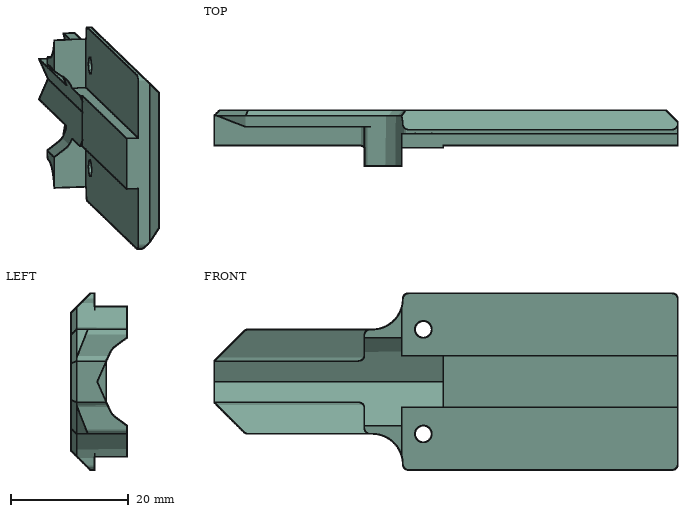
import cadquery as cq


length = 78.69
plate_width = 30.0
total_depth = 9.5

plate_start = 32.0
plate_depth = 4.0
plate_corner_radius = 1.0
side_bevel = 3.3
end_bevel = 2.0

arm_half_width = 8.87
back_chamfer = 0.95
corner_radius = 1.0

rail_half_width = 3.5
rail_depth = 6.0
strip_half_width = 4.36

pocket_end = 25.5
pocket_floor_depth = back_chamfer
floor_slope_start = 4.02
floor_blend_radius = 1.0
floor_edge_depth = 2.85

boss_end = 31.85

groove_end = 38.9
groove_bottom_depth = 4.45
mouth_corner_half_width = 5.58
mouth_corner_depth = 6.96
mouth_half_width = 7.45
mouth_radius = 3.0

hole_diameter = 2.8
hole_x = 35.5
hole_z = arm_half_width

plate_half_width = plate_width / 2
tip_corner_x = arm_half_width - rail_half_width
neck_radius = plate_half_width - plate_corner_radius - arm_half_width
margin = 1.0


def front_plane(depth=0):
    """Sketch plane at a depth with local axes X and Z; extrusions go towards the front."""
    return cq.Workplane("XZ", origin=(0, -depth, 0))


def block_on_plate(x_start, x_end, half_width, depth):
    """Box from the plate front up to the given depth, centred on Z = 0."""
    return (
        front_plane(plate_depth)
        .center((x_start + x_end) / 2, 0)
        .rect(x_end - x_start, 2 * half_width)
        .extrude(depth - plate_depth)
    )


def profile_along_x(points, x_start, x_end):
    """Prism along X with its section given as (depth, z) points."""
    section = [(-depth, z) for depth, z in points]
    return (
        cq.Workplane("YZ", origin=(x_start, 0, 0))
        .polyline(section)
        .close()
        .extrude(x_end - x_start)
    )


def both_sides(solid):
    """The solid together with its mirror image about Z = 0."""
    return solid.union(solid.mirror("XY"))


def outline(start_depth, end_depth):
    """Plan outline of arm, neck and plate, extruded between two depths."""
    neck_start = plate_start - neck_radius
    neck_top = arm_half_width + neck_radius
    return (
        front_plane(start_depth)
        .moveTo(0, 0)
        .lineTo(0, rail_half_width)
        .lineTo(tip_corner_x, arm_half_width)
        .lineTo(neck_start, arm_half_width)
        .tangentArcPoint((plate_start, neck_top), relative=False)
        .tangentArcPoint((plate_start + plate_corner_radius, plate_half_width), relative=False)
        .lineTo(length, plate_half_width)
        .lineTo(length, 0)
        .mirrorX()
        .extrude(end_depth - start_depth)
    )


def side_bevels():
    """Wedges that bevel the long back edges of the plate."""
    wedge = [
        (-margin, plate_half_width - side_bevel - margin),
        (side_bevel + margin, plate_half_width + margin),
        (-margin, plate_half_width + margin),
    ]
    return both_sides(profile_along_x(wedge, 0, length + margin))


def end_bevel_wedge():
    """Wedge that bevels the back edge at the wide end."""
    return (
        cq.Workplane("XY", origin=(0, 0, -plate_half_width))
        .polyline([
            (length - end_bevel - margin, margin),
            (length + margin, margin),
            (length + margin, -end_bevel - margin),
        ])
        .close()
        .extrude(plate_width)
    )


def vertical_edges_at(x, half_width):
    """Selector for the pair of edges along Y at (x, +half_width) and (x, -half_width)."""
    reach = 0.05
    selectors = [
        cq.selectors.BoxSelector(
            (x - reach, -total_depth, z - reach),
            (x + reach, margin, z + reach),
        )
        for z in (half_width, -half_width)
    ]
    return (selectors[0] + selectors[1]) & cq.selectors.ParallelDirSelector(cq.Vector(0, 1, 0))


def base():
    """Arm and plate with chamfered back edges and rounded corners."""
    body = outline(0, plate_depth).faces(">Y").chamfer(back_chamfer)
    body = body.cut(side_bevels()).cut(end_bevel_wedge())
    body = body.edges(vertical_edges_at(tip_corner_x, arm_half_width)).fillet(corner_radius)
    return body.edges(vertical_edges_at(length, plate_half_width)).fillet(plate_corner_radius)


def pockets():
    """Cutter for the sloped-floor pockets beside the rail, open at the outer side and the tip."""
    outer = arm_half_width + margin
    plan = (
        front_plane()
        .moveTo(-margin, rail_half_width)
        .lineTo(pocket_end - corner_radius, rail_half_width)
        .tangentArcPoint((pocket_end, rail_half_width + corner_radius), relative=False)
        .lineTo(pocket_end, arm_half_width - corner_radius)
        .tangentArcPoint((pocket_end + corner_radius, arm_half_width), relative=False)
        .lineTo(pocket_end + corner_radius, outer)
        .lineTo(-margin, outer)
        .close()
        .extrude(total_depth + margin)
    )
    slope = (floor_edge_depth - pocket_floor_depth) / (arm_half_width - floor_slope_start)
    section = [
        (pocket_floor_depth, 0),
        (pocket_floor_depth, floor_slope_start),
        (floor_edge_depth + slope * margin, outer),
        (total_depth + margin, outer),
        (total_depth + margin, 0),
    ]
    above_floor = profile_along_x(section, -margin, pocket_end + corner_radius)
    slope_foot = cq.selectors.NearestToPointSelector((0, -pocket_floor_depth, floor_slope_start))
    above_floor = above_floor.edges("|X").edges(slope_foot).fillet(floor_blend_radius)
    return both_sides(plan.intersect(above_floor))


def groove():
    """Cutter for the V-groove and its wider mouth, from the tip to the groove end."""
    top = total_depth + margin
    mouth = [
        (groove_bottom_depth, 0),
        (rail_depth, rail_half_width),
        (mouth_corner_depth, mouth_corner_half_width),
        (total_depth, mouth_half_width),
        (top, mouth_half_width),
        (top, -mouth_half_width),
        (total_depth, -mouth_half_width),
        (mouth_corner_depth, -mouth_corner_half_width),
        (rail_depth, -rail_half_width),
    ]
    cutter = profile_along_x(mouth, -margin, groove_end)
    for z in (mouth_corner_half_width, -mouth_corner_half_width):
        corner = cq.selectors.NearestToPointSelector((groove_end / 2, -mouth_corner_depth, z))
        cutter = cutter.edges("|X").edges(corner).fillet(mouth_radius)
    return cutter


def holes():
    """Cutter for the two mounting holes through the plate."""
    return (
        front_plane()
        .pushPoints([(hole_x, hole_z), (hole_x, -hole_z)])
        .circle(hole_diameter / 2)
        .extrude(plate_depth)
    )


def rail_and_boss():
    """Full-height stock over the arm and neck, which the pockets and the groove shape."""
    stock = block_on_plate(0, boss_end, plate_half_width, total_depth)
    return outline(plate_depth, total_depth).intersect(stock)


def strip():
    """Strip along the plate, with stock up to the groove end for the groove flanks."""
    flank_stock = block_on_plate(boss_end, groove_end, strip_half_width, total_depth)
    return block_on_plate(boss_end, length, strip_half_width, rail_depth).union(flank_stock)


result = base().union(rail_and_boss()).union(strip())
result = result.cut(pockets()).cut(groove()).cut(holes())